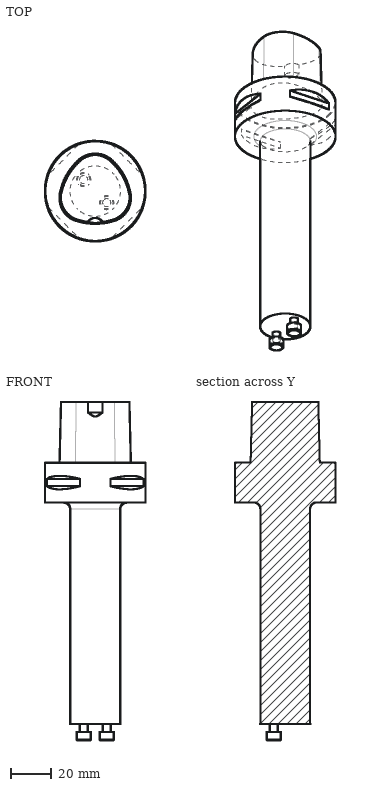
import cadquery as cq
import math

total_height = 168.0
shank_height = 30.0
flange_height = 20.0
screw_length = 8.0

flange_diameter = 50.0
bar_diameter = 25.0
neck_fillet = 3.0
flange_bevel = 0.3

lobe_count = 3
lobe_radius = 18.6
flank_radius = 16.3
joint_radius = 17.6
joint_half_angle = 26.0
first_lobe_angle = 90.0
side_taper = 1 / 40

keyway_diameter = 8.4
keyway_axis_offset = 17.5
keyway_depth = 5.2
drill_point_angle = 100.0

groove_count = 4
groove_first_angle = 45.0
groove_depth = 2.9
groove_floor_width = 3.5
groove_mouth_width = 6.7

screw_shaft_diameter = 4.0
screw_head_diameter = 7.0
screw_head_height = 4.2
screw_head_chamfer = 0.5
screw_offset = 5.7

bar_bottom = screw_length
flange_top = total_height - shank_height
flange_bottom = flange_top - flange_height
flange_radius = flange_diameter / 2
bar_radius = bar_diameter / 2


def polar(radius, angle):
    """Point at a radius and an angle in degrees."""
    turn = math.radians(angle)
    return (radius * math.cos(turn), radius * math.sin(turn))


def lobed_outline(workplane, inset):
    """Closed outline of three lobe arcs joined by three flank arcs."""
    pitch = 360 / lobe_count
    joint = joint_radius - inset
    outline = workplane.moveTo(*polar(joint, first_lobe_angle - joint_half_angle))
    for index in range(lobe_count):
        lobe_angle = first_lobe_angle + index * pitch
        outline = outline.threePointArc(
            polar(lobe_radius - inset, lobe_angle),
            polar(joint, lobe_angle + joint_half_angle),
        )
        outline = outline.threePointArc(
            polar(flank_radius - inset, lobe_angle + pitch / 2),
            polar(joint, lobe_angle + pitch - joint_half_angle),
        )
    return outline.close()


def make_body():
    """Bar and flange turned as one piece, with a fillet between them."""
    fillet_middle = neck_fillet * (1 - math.sqrt(0.5))
    return (
        cq.Workplane("XZ")
        .moveTo(0, bar_bottom)
        .lineTo(bar_radius, bar_bottom)
        .lineTo(bar_radius, flange_bottom - neck_fillet)
        .threePointArc(
            (bar_radius + fillet_middle, flange_bottom - fillet_middle),
            (bar_radius + neck_fillet, flange_bottom),
        )
        .lineTo(flange_radius, flange_bottom)
        .lineTo(flange_radius, flange_top - flange_bevel)
        .lineTo(flange_radius - flange_bevel, flange_top)
        .lineTo(0, flange_top)
        .close()
        .revolve(360, (0, 0, 0), (0, 1, 0))
    )


def make_shank():
    """Lobed shank narrowing upwards from the flange."""
    base = lobed_outline(cq.Workplane("XY").workplane(offset=flange_top), 0)
    top_plane = base.workplane(offset=shank_height)
    return lobed_outline(top_plane, shank_height * side_taper).loft(ruled=True)


def make_keyway():
    """Drill-shaped cutter with a conical point, open at the top of the shank."""
    radius = keyway_diameter / 2
    point_height = radius / math.tan(math.radians(drill_point_angle / 2))
    floor = total_height - keyway_depth
    return (
        cq.Workplane("XZ")
        .moveTo(0, floor - point_height)
        .lineTo(radius, floor)
        .lineTo(radius, total_height)
        .lineTo(0, total_height)
        .close()
        .revolve(360, (0, 0, 0), (0, 1, 0))
        .translate((0, -keyway_axis_offset, 0))
    )


def make_groove(angle):
    """Flat-bottomed groove with flared walls, cut straight across the flange edge."""
    middle = flange_bottom + flange_height / 2
    floor_x = flange_radius - groove_depth
    half_floor = groove_floor_width / 2
    half_mouth = groove_mouth_width / 2
    return (
        cq.Workplane("XZ")
        .moveTo(floor_x, middle - half_floor)
        .lineTo(flange_radius, middle - half_mouth)
        .lineTo(flange_radius, middle + half_mouth)
        .lineTo(floor_x, middle + half_floor)
        .close()
        .extrude(flange_radius, both=True)
        .rotate((0, 0, 0), (0, 0, 1), angle)
    )


def make_screw(x, y):
    """Cap screw hanging from the bar with its head at the bottom."""
    head = (
        cq.Workplane("XY")
        .circle(screw_head_diameter / 2)
        .extrude(screw_head_height)
        .faces("<Z")
        .chamfer(screw_head_chamfer)
    )
    shaft = cq.Workplane("XY").circle(screw_shaft_diameter / 2).extrude(screw_length)
    return head.union(shaft).translate((x, y, 0))


result = make_body().union(make_shank()).cut(make_keyway())

for index in range(groove_count):
    result = result.cut(make_groove(groove_first_angle + index * 360 / groove_count))

for side in (-1, 1):
    result = result.union(make_screw(side * screw_offset, -side * screw_offset))